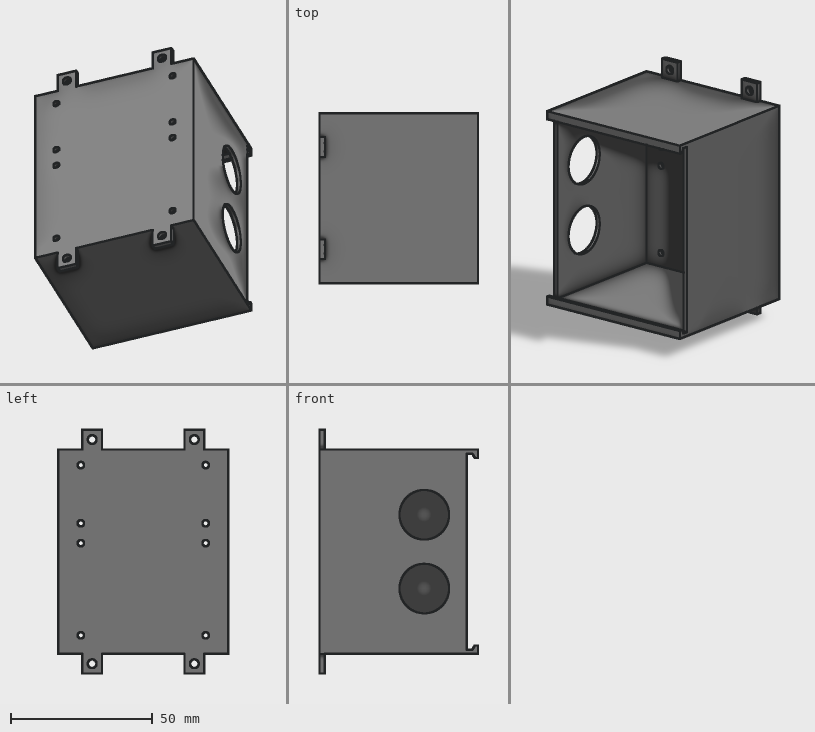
import cadquery as cq
import math

depth = 56.0
width = 60.0
height = 72.0
wall = 1.5
back_thickness = 2.0

side_setback = 4.0
lip_height = 1.5
lip_tip = 1.2
lip_angle = 60.0
lip_root = lip_tip + lip_height / math.tan(math.radians(lip_angle))

tab_size = 7.0
tab_offset = 18.0
tab_hole_diameter = 3.0

screw_hole_diameter = 2.2
screw_offset = 22.0
screw_heights = (30.5, 10.0, 3.0, -29.5)

cable_hole_diameter = 17.5
cable_hole_x = 37.0
cable_hole_offset = 13.0


def corner_box(x_start, x_end, y_size, z_size):
    """Block between two X positions, centred on Y and Z."""
    return (
        cq.Workplane("XY")
        .box(x_end - x_start, y_size, z_size, centered=(False, True, True))
        .translate((x_start, 0, 0))
    )


def make_shell():
    """Box with a hollow open at +X and shortened side walls."""
    inner_height = height - 2 * wall
    outer = corner_box(0, depth, width, height)
    hollow = corner_box(back_thickness, depth, width - 2 * wall, inner_height)
    side_cut = corner_box(depth - side_setback, depth, width, inner_height)
    return outer.cut(hollow).cut(side_cut)


def make_top_lip():
    """Tapered lip hanging from the top panel along the open end."""
    root_z = height / 2 - wall
    tip_z = root_z - lip_height
    outline = [
        (depth, root_z),
        (depth, tip_z),
        (depth - lip_tip, tip_z),
        (depth - lip_root, root_z),
    ]
    return cq.Workplane("XZ").polyline(outline).close().extrude(width / 2, both=True)


def make_tabs():
    """Four square tabs in the plane of the back plate, each with a hole."""
    tab_z = (height + tab_size) / 2
    centers = [(y, z) for y in (-tab_offset, tab_offset) for z in (-tab_z, tab_z)]
    plane = cq.Workplane("YZ").pushPoints(centers)
    tabs = plane.rect(tab_size, tab_size).extrude(back_thickness)
    holes = plane.circle(tab_hole_diameter / 2).extrude(back_thickness)
    return tabs.cut(holes)


def make_screw_holes():
    """Two columns of holes through the back plate."""
    centers = [(y, z) for y in (-screw_offset, screw_offset) for z in screw_heights]
    return cq.Workplane("YZ").pushPoints(centers).circle(screw_hole_diameter / 2).extrude(back_thickness)


def make_cable_holes():
    """Two round openings through the front wall only."""
    centers = [(cable_hole_x, -cable_hole_offset), (cable_hole_x, cable_hole_offset)]
    return (
        cq.Workplane("XZ", origin=(0, -width / 2 + wall, 0))
        .pushPoints(centers)
        .circle(cable_hole_diameter / 2)
        .extrude(wall)
    )


top_lip = make_top_lip()
bottom_lip = top_lip.mirror("XY")

result = make_shell().union(top_lip).union(bottom_lip).union(make_tabs())
result = result.cut(make_screw_holes()).cut(make_cable_holes())